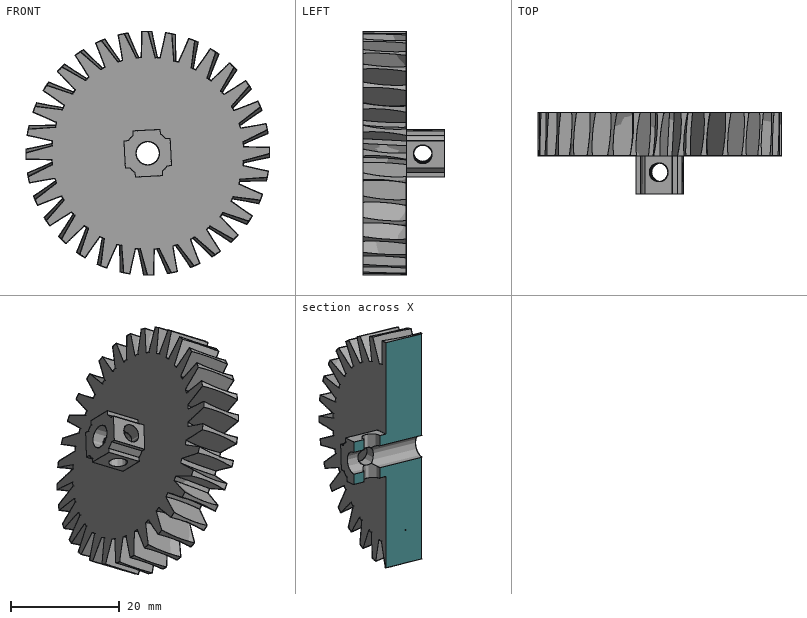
import cadquery as cq
import math


teeth = 32
module = 1.25
outer_diameter = 44.83
face_width = 8.0
bore_diameter = 4.25

worm_pitch = math.pi * module
center_distance = 29.0
worm_tip_radius = 12.1
thread_tip_width = 0.87
flank_angle = 15.0
thread_offset = -worm_pitch / 2
gap_phase = -0.2

rim_clearance = 1.0
runout_angle = 20.0

hub_length = 7.0
hub_diameter = 8.5
hub_flat_width = 5.0
hub_turn = 3.0
screw_hole_diameter = 3.4
screw_hole_distance = 3.0


def turn(shape, degrees):
    """Rotate about the wheel axis, counterclockwise as seen from the hub side."""
    return shape.rotate((0, 0, 0), (0, 1, 0), -degrees)


def make_worm_thread():
    """Part of one worm thread, crossing the top (+Z) of the wheel."""
    thread_base_radius = center_distance - outer_diameter / 2 - rim_clearance
    thread_height = worm_tip_radius - thread_base_radius
    tip_half = thread_tip_width / 2
    base_half = tip_half + thread_height * math.tan(math.radians(flank_angle))

    face_angle = 2 * math.degrees(math.asin(face_width / 2 / thread_base_radius))
    swept_angle = face_angle + runout_angle
    rise = worm_pitch * swept_angle / 360

    path = cq.Wire.makeHelix(worm_pitch, rise, worm_tip_radius)
    thread = (
        cq.Workplane("XZ")
        .polyline([
            (thread_base_radius, -base_half),
            (worm_tip_radius, -tip_half),
            (worm_tip_radius, tip_half),
            (thread_base_radius, base_half),
        ])
        .close()
        .sweep(cq.Workplane(path), isFrenet=True)
        .rotate((0, 0, 0), (0, 0, 1), -swept_angle / 2)
        .translate((0, 0, thread_offset - rise / 2))
    )
    return (
        thread
        .rotate((0, 0, 0), (0, 1, 0), 90)
        .rotate((0, 0, 0), (0, 0, 1), 180)
        .translate((0, 0, center_distance))
    )


def make_wheel():
    blank = cq.Workplane("XZ").circle(outer_diameter / 2).extrude(-face_width)
    middle = (0, face_width / 2, 0)
    first_gap = turn(make_worm_thread().translate(middle), gap_phase)
    gaps = [turn(first_gap, index * 360 / teeth).val() for index in range(teeth)]
    return cq.Workplane(blank.val().cut(*gaps))


def make_hub():
    core = cq.Workplane("XZ").circle(hub_diameter / 2).extrude(hub_length)
    wide_bar = cq.Workplane("XZ").rect(hub_diameter, hub_flat_width).extrude(hub_length)
    tall_bar = cq.Workplane("XZ").rect(hub_flat_width, hub_diameter).extrude(hub_length)
    hub = core.union(wide_bar).union(tall_bar)
    for plane in ("XY", "YZ"):
        screw_hole = (
            cq.Workplane(plane, origin=(0, -screw_hole_distance, 0))
            .circle(screw_hole_diameter / 2)
            .extrude(hub_diameter, both=True)
        )
        hub = hub.cut(screw_hole)
    return turn(hub, hub_turn)


bore = (
    cq.Workplane("XZ", origin=(0, face_width, 0))
    .circle(bore_diameter / 2)
    .extrude(face_width + hub_length)
)
result = make_wheel().union(make_hub()).cut(bore)